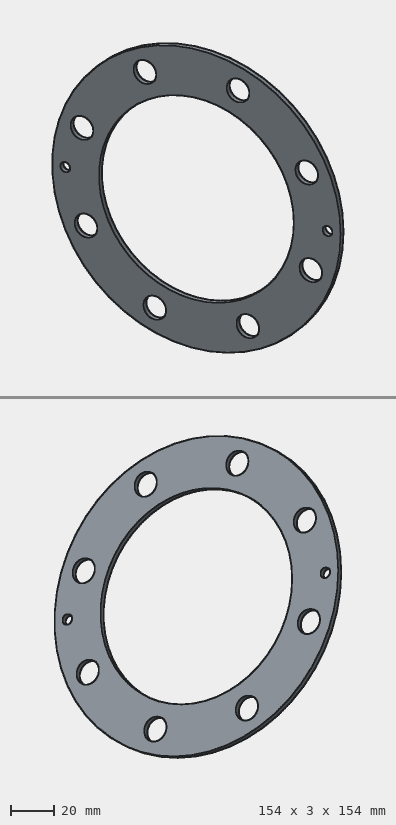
import cadquery as cq

outer_diameter = 154.0
inner_diameter = 104.0
thickness = 3.0

bolt_count = 8
bolt_hole_diameter = 12.0
bolt_circle_diameter = 130.0
first_bolt_angle = 25.0

pin_count = 2
pin_hole_diameter = 5.1
pin_circle_diameter = 140.0
first_pin_angle = 0.0


def ring_plate():
    """Flat annular plate, front face at -Y and back face on the XZ plane."""
    return (
        cq.Workplane("XZ")
        .circle(outer_diameter / 2)
        .circle(inner_diameter / 2)
        .extrude(thickness)
    )


def hole_cutters(circle_diameter, first_angle, count, hole_diameter):
    """Cylinders through the plate, evenly spaced on a circle."""
    return (
        cq.Workplane("XZ")
        .polarArray(circle_diameter / 2, first_angle, 360, count)
        .circle(hole_diameter / 2)
        .extrude(thickness)
    )


bolt_holes = hole_cutters(bolt_circle_diameter, first_bolt_angle, bolt_count, bolt_hole_diameter)
pin_holes = hole_cutters(pin_circle_diameter, first_pin_angle, pin_count, pin_hole_diameter)

result = ring_plate().cut(bolt_holes).cut(pin_holes)